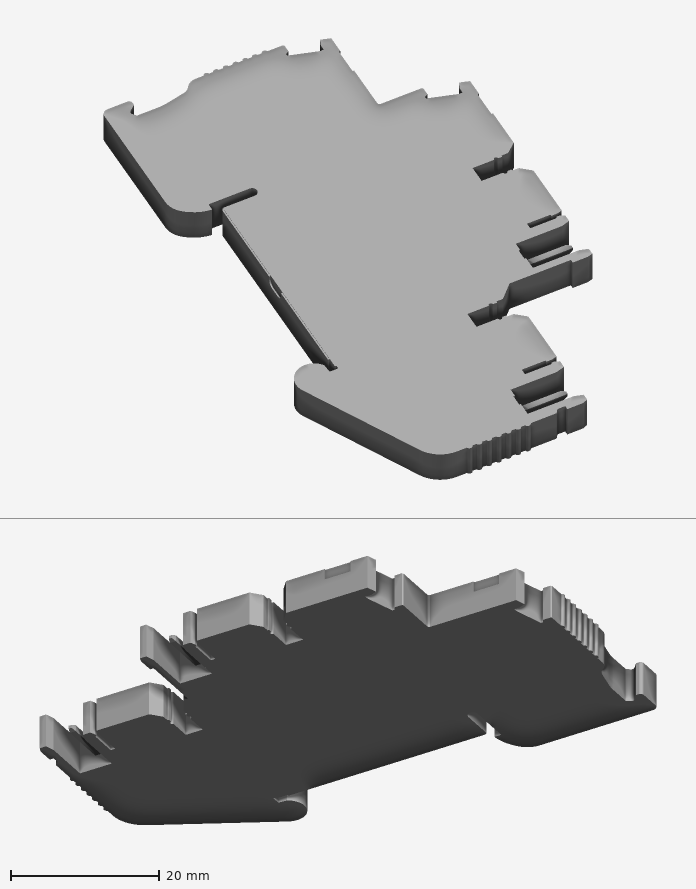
import cadquery as cq
import math

LENGTH = 77.65
HEIGHT = 46.7
THICKNESS = 5.05
MID_Z = THICKNESS / 2

TIER_DROP = 13.0
LEFT_SHIFT = 15.6
RIGHT_SHIFT = 23.4
UPPER_TOP = HEIGHT
LOWER_TOP = HEIGHT - TIER_DROP

LEFT_WALL = 0.55
RIGHT_WALL = 77.35
RIB_HEIGHT = LENGTH - RIGHT_WALL
RIB_WIDTH = 0.85
RIB_COUNT = 7
RIB_PITCH = 1.5
FIRST_RIB_Y = 15.7

SLOT_X = 33.6
SLOT_HALF_WIDTH = 1.3
SLOT_MOUTH_HALF = 1.55
SLOT_DEPTH = 7.1
SLOT_CHAMFER_DEPTH = 1.55
SLOT_CHAMFER_RUN = 1.3
SLOT_STEP_DEPTH = 2.6
DIMPLE_RADIUS = 0.3
DIMPLE_DEPTH = 3.5

SOCKET_LEFT = 47.3
SOCKET_RIGHT = 52.25
SOCKET_DEPTH = 8.3
TOWER_RIGHT = 53.35
TOWER_LIP_RIGHT = 53.9
TOWER_LIP_Y = 43.6
TOWER_FOOT_Y = 34.25
PIN_X = 49.4
PIN_WIDTH = 0.9
PIN_TIP_DROP = 0.85
PIN_TIP_CHAMFER = 0.2
PIN_TIP_LENGTH = 0.7
PIN_SEAT_WIDTH = 1.7
PIN_ROOT = 0.8

SLIT_LEFT = 44.95
SLIT_RIGHT = 45.65
SLIT_DEPTH = 5.3
SLIT_LEDGE = 0.2
SLIT_LIP_DROP = 1.7

RAIL_Y = 6.4
RAIL_PAD_LEFT = 23.6
RAIL_PAD_RIGHT = 54.35
RAIL_PAD_HEIGHT = 0.2
RAIL_PAD_DROP = 0.1
RAIL_SLOT_LEFT = 21.75
RAIL_SLOT_RIGHT = 23.2
RAIL_SLOT_TOP = 11.95
FOOT_TOP = 5.0
FOOT_CORNER_RADIUS = 0.9
HOOK_X = 56.5
HOOK_Y = 2.9
HOOK_RADIUS = 2.7
HOOK_TIP_RUN = 1.4
HOOK_NECK_X = 56.45
RAMP_ANGLE = math.radians(27.8)
RAMP_CORNER_RADIUS = 5.0

RECESS_DEPTH = 0.2
RECESS_DEPTH_Z = 1.6
RAIL_NOTCH_X = 38.9
RAIL_NOTCH_WIDTH = 3.4
RAIL_NOTCH_FILLET = 0.9
MARKER_X = 22.7
MARKER_WIDTH = 4.0


def add_latch(path, dx, dy):
    """Draw the latch recess of one tier, from its lower ledge up to its top edge."""
    points = [
        (LEFT_WALL, 27.3), (0.7, 27.5), (1.9, 27.5), (2.2, 26.95), (2.5, 26.95), (3.8, 31.3),
        (3.8, 31.8), (2.95, 31.8), (1.95, 32.2), (2.4, LOWER_TOP),
    ]
    for x, y in points:
        path = path.lineTo(x + dx, y + dy)
    return path


def add_slot(path, center, top, left_rim_half, left_rim_y):
    """Draw a wire slot from left to right, with its chamfered mouth."""
    mouth_y = top - SLOT_CHAMFER_DEPTH
    step_y = top - SLOT_STEP_DEPTH
    floor_y = top - SLOT_DEPTH
    path = path.lineTo(center - left_rim_half, left_rim_y)
    path = path.lineTo(center - SLOT_MOUTH_HALF, mouth_y)
    path = path.lineTo(center - SLOT_MOUTH_HALF, step_y)
    path = path.lineTo(center - SLOT_HALF_WIDTH, step_y)
    path = path.lineTo(center - SLOT_HALF_WIDTH, floor_y)
    path = path.lineTo(center + SLOT_HALF_WIDTH, floor_y)
    path = path.lineTo(center + SLOT_HALF_WIDTH, step_y)
    path = path.lineTo(center + SLOT_MOUTH_HALF, step_y)
    path = path.lineTo(center + SLOT_MOUTH_HALF, mouth_y)
    return path.lineTo(center + SLOT_MOUTH_HALF + SLOT_CHAMFER_RUN, top)


def add_socket(path, dx, top):
    """Draw the slit, the thin prong, the socket and the tip of the outer prong."""
    points = [
        (SLIT_LEFT - 0.2, 0), (SLIT_LEFT, 0.8), (SLIT_LEFT, SLIT_DEPTH), (SLIT_RIGHT, SLIT_DEPTH),
        (SLIT_RIGHT, 1.25), (SLIT_RIGHT - 0.2, 1.2), (SLIT_RIGHT - 0.2, 0.7), (SLIT_RIGHT + 0.1, 0),
        (SOCKET_LEFT - 0.4, 0), (SOCKET_LEFT, 1.3), (SOCKET_LEFT, SOCKET_DEPTH),
        (SOCKET_RIGHT, SOCKET_DEPTH), (SOCKET_RIGHT, 1.3), (SOCKET_RIGHT + 0.4, 0),
    ]
    for x, depth in points:
        path = path.lineTo(x + dx, top - depth)
    return path


def plate():
    """Full-thickness outline of the housing, drawn clockwise from the left foot."""
    ramp_start = (HOOK_X + HOOK_RADIUS * math.sin(RAMP_ANGLE), HOOK_Y - HOOK_RADIUS * math.cos(RAMP_ANGLE))
    ramp_end_y = ramp_start[1] + (RIGHT_WALL - ramp_start[0]) * math.tan(RAMP_ANGLE)
    hook_tip_x = HOOK_X - HOOK_TIP_RUN
    hook_tip_y = HOOK_Y + math.sqrt(HOOK_RADIUS ** 2 - HOOK_TIP_RUN ** 2)

    path = cq.Workplane("XY").moveTo(0, 0).lineTo(0, 4.0)
    path = path.threePointArc((0.15, 4.35), (0.5, 4.5)).lineTo(0.9, 4.5)
    path = path.lineTo(1.7, 3.6).threePointArc((2.0, 3.4), (2.3, 3.5)).lineTo(2.9, 3.95)
    path = path.lineTo(2.9, 7.4).threePointArc((2.8, 8.2), (2.65, 9.0)).lineTo(2.2, 11.2)
    path = path.threePointArc((1.95, 11.9), (1.25, 12.6)).threePointArc((0.7, 13.3), (LEFT_WALL, 14.05))
    path = add_latch(path, 0, 0)
    path = path.lineTo(LEFT_WALL + LEFT_SHIFT - 0.2, LOWER_TOP).lineTo(LEFT_WALL + LEFT_SHIFT, LOWER_TOP + 0.2)
    path = add_latch(path, LEFT_SHIFT, TIER_DROP)

    path = add_slot(path, SLOT_X, UPPER_TOP, SLOT_MOUTH_HALF + SLOT_CHAMFER_RUN, UPPER_TOP)
    path = add_socket(path, 0, UPPER_TOP)
    path = path.lineTo(53.65, UPPER_TOP).lineTo(TOWER_LIP_RIGHT, UPPER_TOP - 0.8)
    path = path.lineTo(TOWER_LIP_RIGHT, TOWER_LIP_Y).lineTo(TOWER_RIGHT, TOWER_LIP_Y)

    lower_slot_x = SLOT_X + RIGHT_SHIFT
    path = add_slot(path, lower_slot_x, LOWER_TOP, lower_slot_x - TOWER_RIGHT, TOWER_FOOT_Y)
    path = add_socket(path, RIGHT_SHIFT, LOWER_TOP)
    path = path.lineTo(77.0, LOWER_TOP).lineTo(RIGHT_WALL, LOWER_TOP - 0.8).lineTo(RIGHT_WALL, 30.5)
    path = path.lineTo(76.7, 30.5).lineTo(76.7, 29.35).lineTo(RIGHT_WALL, 28.9)

    path = path.lineTo(RIGHT_WALL, ramp_end_y).lineTo(*ramp_start)
    path = path.threePointArc((HOOK_X - HOOK_RADIUS, HOOK_Y), (hook_tip_x, hook_tip_y))
    path = path.lineTo(HOOK_NECK_X, 5.3).lineTo(HOOK_NECK_X, 6.6).lineTo(55.9, 6.6).lineTo(55.9, RAIL_Y)

    slot_radius = (RAIL_SLOT_RIGHT - RAIL_SLOT_LEFT) / 2
    slot_shoulder = RAIL_SLOT_TOP - slot_radius
    path = path.lineTo(RAIL_SLOT_RIGHT, RAIL_Y).lineTo(RAIL_SLOT_RIGHT, slot_shoulder)
    path = path.threePointArc((RAIL_SLOT_RIGHT - slot_radius, RAIL_SLOT_TOP), (RAIL_SLOT_LEFT, slot_shoulder))
    path = path.lineTo(RAIL_SLOT_LEFT, FOOT_TOP).lineTo(22.8, FOOT_TOP)
    path = path.threePointArc((22.1, 2.6), (20.9, 0.85)).threePointArc((19.9, 0.2), (18.7, 0)).close()

    body = path.extrude(THICKNESS)
    corners = ((RIGHT_WALL, ramp_end_y, RAMP_CORNER_RADIUS), (0, 0, FOOT_CORNER_RADIUS))
    for x, y, radius in corners:
        nearest = cq.selectors.NearestToPointSelector((x, y, MID_Z))
        body = body.edges("|Z").edges(nearest).fillet(radius)
    return body


def grip_ribs():
    """Rounded ribs along both side walls."""
    ribs = cq.Workplane("XY")
    for wall, outward in ((LEFT_WALL, -1), (RIGHT_WALL, 1)):
        for i in range(RIB_COUNT):
            y = FIRST_RIB_Y + i * RIB_PITCH
            tip_x = wall + outward * RIB_HEIGHT
            root_x = wall - outward * RIB_HEIGHT
            rib = (
                cq.Workplane("XY")
                .moveTo(wall, y - RIB_WIDTH / 2)
                .threePointArc((tip_x, y), (wall, y + RIB_WIDTH / 2))
                .lineTo(root_x, y + RIB_WIDTH / 2)
                .lineTo(root_x, y - RIB_WIDTH / 2)
                .close()
                .extrude(THICKNESS)
            )
            ribs = ribs.add(rib)
    return ribs.combine()


def rail_pad():
    """Slightly raised pad along the rail seat, ending just below the +Z face."""
    return (
        cq.Workplane("XY")
        .moveTo(RAIL_SLOT_RIGHT, RAIL_Y)
        .lineTo(RAIL_PAD_LEFT, RAIL_Y - RAIL_PAD_HEIGHT)
        .lineTo(RAIL_PAD_RIGHT, RAIL_Y - RAIL_PAD_HEIGHT)
        .lineTo(RAIL_PAD_RIGHT, RAIL_Y + RAIL_PAD_HEIGHT)
        .lineTo(RAIL_SLOT_RIGHT, RAIL_Y + RAIL_PAD_HEIGHT)
        .close()
        .extrude(THICKNESS - RAIL_PAD_DROP)
    )


def slot_dimples(center, top):
    """Small round grooves in both walls of a wire slot."""
    walls = [(center - SLOT_HALF_WIDTH, top - DIMPLE_DEPTH), (center + SLOT_HALF_WIDTH, top - DIMPLE_DEPTH)]
    return cq.Workplane("XY").pushPoints(walls).circle(DIMPLE_RADIUS).extrude(THICKNESS)


def edge_recess(x, y, width):
    """Shallow cut into an edge, open at the +Z face."""
    return cq.Workplane("XY").box(width, 2 * RECESS_DEPTH, 2 * RECESS_DEPTH_Z).translate((x, y, THICKNESS))


def slit_ledge(dx, top):
    """Widening of the slit below its lip, in the +Z half only."""
    length = SLIT_DEPTH - SLIT_LIP_DROP
    return (
        cq.Workplane("XY")
        .box(SLIT_LEDGE, length, MID_Z, centered=False)
        .translate((SLIT_LEFT - SLIT_LEDGE + dx, top - SLIT_DEPTH, MID_Z))
    )


def pin(dx, top):
    """Square contact pin with a tapered tip, rooted below the socket floor."""
    root_y = top - SOCKET_DEPTH - PIN_ROOT
    tip_y = top - PIN_TIP_DROP
    shaft_end_y = tip_y - PIN_TIP_LENGTH
    tip_width = PIN_WIDTH - 2 * PIN_TIP_CHAMFER
    shaft = (
        cq.Workplane("XZ", origin=(PIN_X + dx, root_y, MID_Z))
        .rect(PIN_WIDTH, PIN_WIDTH)
        .extrude(root_y - shaft_end_y)
    )
    tip = (
        cq.Workplane("XZ", origin=(PIN_X + dx, shaft_end_y, MID_Z))
        .rect(PIN_WIDTH, PIN_WIDTH)
        .workplane(offset=-PIN_TIP_LENGTH)
        .rect(tip_width, tip_width)
        .loft()
    )
    return shaft.union(tip)


def rail_notch():
    """Notch in the rail pad with rounded lower corners, open at the +Z face."""
    notch = edge_recess(RAIL_NOTCH_X, RAIL_Y - RAIL_PAD_HEIGHT, RAIL_NOTCH_WIDTH)
    return notch.edges("|Y and <Z").fillet(RAIL_NOTCH_FILLET)


result = plate().union(grip_ribs()).union(rail_pad()).cut(rail_notch())
for shift, top in ((0, UPPER_TOP), (RIGHT_SHIFT, LOWER_TOP)):
    result = result.cut(slot_dimples(SLOT_X + shift, top))
    result = result.cut(slit_ledge(shift, top))
    result = result.cut(edge_recess(PIN_X + shift, top - SOCKET_DEPTH, PIN_SEAT_WIDTH))
    result = result.union(pin(shift, top))
for shift, top in ((0, UPPER_TOP), (-LEFT_SHIFT, LOWER_TOP)):
    result = result.cut(edge_recess(MARKER_X + shift, top, MARKER_WIDTH))